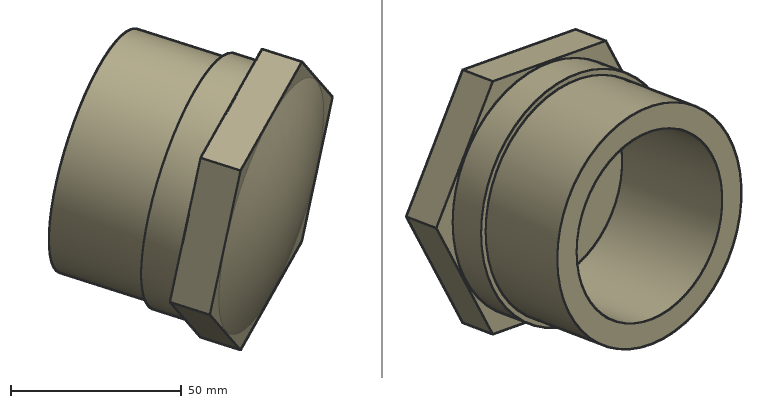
import cadquery as cq
import math

total_length = 60.75
spigot_diameter = 75.3
spigot_length = 30.25
collar_diameter = 79.0
collar_length = 12.0
hex_across_flats = 80.0
hex_thickness = 12.75
dome_base_diameter = 79.0
bore_diameter = 59.5

collar_start = spigot_length
hex_start = collar_start + collar_length
dome_start = hex_start + hex_thickness
dome_height = total_length - dome_start
bore_depth = hex_start

hex_across_corners = hex_across_flats / math.cos(math.radians(30))


def cylinder_along_x(start, length, diameter):
    return cq.Workplane("YZ", origin=(start, 0, 0)).circle(diameter / 2).extrude(length)


def make_hex_head():
    """Hexagonal head with two corners on the Y axis and flats facing +Z and -Z."""
    return cq.Workplane("YZ", origin=(hex_start, 0, 0)).polygon(6, hex_across_corners).extrude(hex_thickness)


def make_dome():
    """Spherical cap on the closed end of the head."""
    base_radius = dome_base_diameter / 2
    sphere_radius = (base_radius**2 + dome_height**2) / (2 * dome_height)
    sphere_center = total_length - sphere_radius
    half_angle = math.asin(base_radius / sphere_radius) / 2
    arc_middle = (
        sphere_center + sphere_radius * math.cos(half_angle),
        sphere_radius * math.sin(half_angle),
    )
    return (
        cq.Workplane("XY")
        .moveTo(dome_start, 0)
        .lineTo(dome_start, base_radius)
        .threePointArc(arc_middle, (total_length, 0))
        .close()
        .revolve(360, (0, 0, 0), (1, 0, 0))
    )


spigot = cylinder_along_x(0, spigot_length, spigot_diameter)
collar = cylinder_along_x(collar_start, collar_length, collar_diameter)
bore = cylinder_along_x(0, bore_depth, bore_diameter)

result = spigot.union(collar).union(make_hex_head()).union(make_dome()).cut(bore)